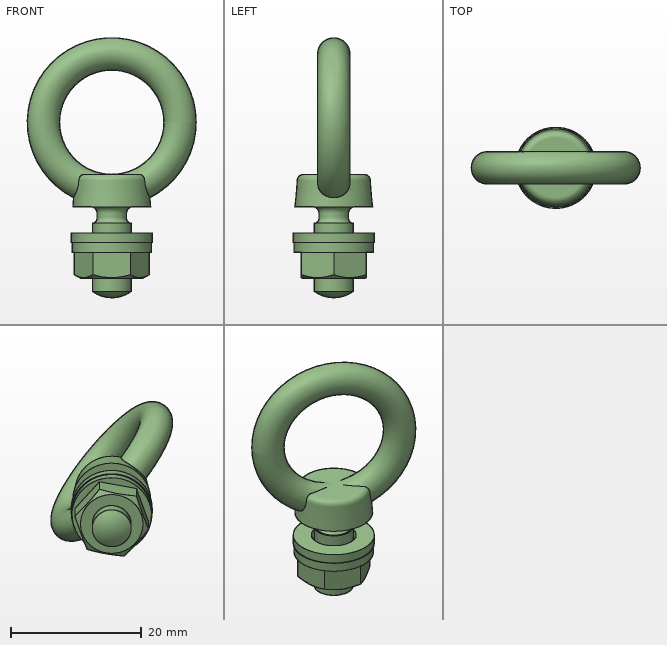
import cadquery as cq
import math

ring_outer_radius = 13.0
ring_bar_diameter = 5.0
ring_bar_radius = ring_bar_diameter / 2
ring_path_radius = ring_outer_radius - ring_bar_radius

collar_base_radius = 6.0
collar_height = ring_bar_diameter
collar_draft_angle = 5.0
collar_top_fillet = 1.0

shank_radius = 3.0
neck_radius = 2.3
undercut_fillet = 1.0
undercut_straight_end = -1.7
shank_start = -2.5
shank_end = -13.0
tip_height = 1.0

flat_washer_top = -4.0
flat_washer_radius = 6.25
flat_washer_bore_radius = 3.45
flat_washer_thickness = 1.5
spring_washer_radius = 6.1
spring_washer_thickness = 1.5
nut_height = 4.0
nut_across_flats = 10.0
nut_face_radius = 4.8
nut_chamfer_angle = 30.0

spring_washer_top = flat_washer_top - flat_washer_thickness
nut_top = spring_washer_top - spring_washer_thickness
nut_bottom = nut_top - nut_height


def make_ring():
    return (
        cq.Workplane("XY")
        .center(ring_path_radius, 0)
        .circle(ring_bar_radius)
        .revolve(360, (-ring_path_radius, 0, 0), (-ring_path_radius, 1, 0))
        .translate((0, 0, ring_outer_radius))
    )


def make_collar():
    top_radius = collar_base_radius - collar_height * math.tan(math.radians(collar_draft_angle))
    return (
        cq.Workplane("XZ")
        .polyline([
            (0, 0),
            (collar_base_radius, 0),
            (top_radius, collar_height),
            (0, collar_height),
        ])
        .close()
        .revolve(360, (0, 0, 0), (0, 1, 0))
        .faces(">Z")
        .edges()
        .fillet(collar_top_fillet)
    )


def make_shank():
    arc_drop = undercut_straight_end - shank_start
    arc_angle = math.asin(arc_drop / undercut_fillet)
    arc_end_radius = neck_radius + undercut_fillet * (1 - math.cos(arc_angle))
    arc_middle = (
        neck_radius + undercut_fillet * (1 - math.cos(arc_angle / 2)),
        undercut_straight_end - undercut_fillet * math.sin(arc_angle / 2),
    )
    quarter_offset = undercut_fillet * math.sqrt(0.5)
    quarter_middle = (
        neck_radius + undercut_fillet - quarter_offset,
        -undercut_fillet + quarter_offset,
    )
    dome_radius = (shank_radius**2 + tip_height**2) / (2 * tip_height)
    dome_center = shank_end - tip_height + dome_radius
    dome_middle_radius = shank_radius / 2
    dome_middle = (
        dome_middle_radius,
        dome_center - math.sqrt(dome_radius**2 - dome_middle_radius**2),
    )
    return (
        cq.Workplane("XZ")
        .moveTo(0, 0)
        .lineTo(neck_radius + undercut_fillet, 0)
        .threePointArc(quarter_middle, (neck_radius, -undercut_fillet))
        .lineTo(neck_radius, undercut_straight_end)
        .threePointArc(arc_middle, (arc_end_radius, shank_start))
        .lineTo(shank_radius, shank_start)
        .lineTo(shank_radius, shank_end)
        .threePointArc(dome_middle, (0, shank_end - tip_height))
        .close()
        .revolve(360, (0, 0, 0), (0, 1, 0))
    )


def make_eye_bolt():
    return make_collar().union(make_ring()).union(make_shank())


def make_washer(outer_radius, bore_radius, thickness, top):
    return (
        cq.Workplane("XY", origin=(0, 0, top))
        .circle(outer_radius)
        .circle(bore_radius)
        .extrude(-thickness)
    )


def make_nut():
    across_corners = nut_across_flats / math.cos(math.radians(30))
    hexagon = (
        cq.Workplane("XY", origin=(0, 0, nut_top))
        .polygon(6, across_corners)
        .circle(shank_radius)
        .extrude(-nut_height)
    )
    cone_top_radius = nut_face_radius + nut_height / math.tan(math.radians(nut_chamfer_angle))
    cone = (
        cq.Workplane("XZ")
        .polyline([
            (0, nut_bottom),
            (nut_face_radius, nut_bottom),
            (cone_top_radius, nut_top),
            (0, nut_top),
        ])
        .close()
        .revolve(360, (0, 0, 0), (0, 1, 0))
    )
    return hexagon.intersect(cone)


eye_bolt = make_eye_bolt()
flat_washer = make_washer(
    flat_washer_radius, flat_washer_bore_radius, flat_washer_thickness, flat_washer_top
)
spring_washer = make_washer(
    spring_washer_radius, shank_radius, spring_washer_thickness, spring_washer_top
)
nut = make_nut()

result = cq.Compound.makeCompound([
    eye_bolt.val(),
    flat_washer.val(),
    spring_washer.val(),
    nut.val(),
])